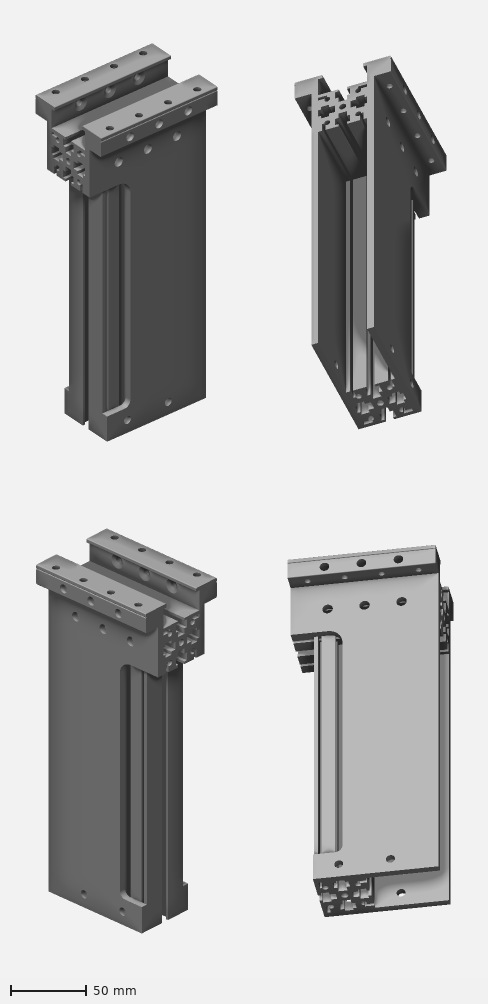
import cadquery as cq
import math

profile_size = 35.0
rail_length = 100.0
column_height = 200.0
plate_thickness = 5.0
block_width = 12.0
block_height = 12.0
strip_width = 20.0
strip_thickness = 3.0
edge_radius = 0.65
overall_height = 253.0

slot_opening = 6.0
slot_lip = 2.0
slot_cavity_width = 10.8
slot_cavity_end = 7.8
slot_depth = 12.0
core_bore = 5.0
corner_bore = 4.2
corner_bore_offset = 11.1
groove_width = 2.4
groove_offset = 13.6

plate_depth = 85.0
notch_bottom = 20.0
notch_depth = 20.0
notch_top_radius = 10.0
notch_bottom_radius = 5.0

bolt_pitch = 25.0
rail_bolt_hole = 7.0
block_bolt_hole = 5.0
countersink_diameter = 10.5
countersink_angle = 118.0
rail_bolt_drop = 35.0
column_bolt_hole = 6.0
column_bolt_height = 10.0
block_side_hole = 6.5
block_top_hole = 4.2
strip_hole = 5.5

half_profile = profile_size / 2
front_y = -rail_length / 2
back_y = rail_length / 2
plate_front_y = back_y - plate_depth
column_y = plate_front_y + half_profile
rail_z = column_height + half_profile
rail_bolt_z = overall_height - rail_bolt_drop
plate_top = overall_height - strip_thickness
block_inner_x = half_profile + plate_thickness
block_outer_x = block_inner_x + block_width
block_x = block_inner_x + block_width / 2
block_z = plate_top - block_height / 2
side_bolt_ys = [-bolt_pitch, 0, bolt_pitch]
top_bolt_ys = [step * bolt_pitch for step in (-1.5, -0.5, 0.5, 1.5)]
column_bolt_ys = [column_y, column_y + profile_size]


def box(x_min, x_max, y_min, y_max, z_min, z_max):
    size = (x_max - x_min, y_max - y_min, z_max - z_min)
    return cq.Workplane("XY").box(*size, centered=False).translate((x_min, y_min, z_min))


def x_holes(x_min, x_max, ys, z, diameter):
    """Round cutters along X, one at each Y."""
    places = [(y, z) for y in ys]
    plane = cq.Workplane("YZ").workplane(offset=x_min)
    return plane.pushPoints(places).circle(diameter / 2).extrude(x_max - x_min)


def z_holes(x, ys, z_min, z_max, diameter):
    """Round cutters along Z, one at each Y."""
    places = [(x, y) for y in ys]
    plane = cq.Workplane("XY").workplane(offset=z_min)
    return plane.pushPoints(places).circle(diameter / 2).extrude(z_max - z_min)


def slotted_profile(length):
    """Slotted extrusion along Z, centred in XY; its plain face with the slot looks to +Y."""
    def bar(width, depth, x, y):
        return cq.Workplane("XY").center(x, y).rect(width, depth).extrude(length)

    body = bar(profile_size, profile_size, 0, 0)
    cavity_depth = slot_cavity_end - slot_lip
    mouth = bar(slot_opening, slot_depth, 0, half_profile - slot_depth / 2)
    cavity = bar(slot_cavity_width, cavity_depth, 0, half_profile - slot_lip - cavity_depth / 2)
    slot = mouth.union(cavity)
    for quarter in range(4):
        body = body.cut(slot.rotate((0, 0, 0), (0, 0, 1), 90 * quarter))
    body = body.cut(cq.Workplane("XY").circle(core_bore / 2).extrude(length))

    groove_length = half_profile - corner_bore_offset
    groove_middle = half_profile - groove_length / 2
    for side in (-1, 1):
        for level in (-1, 1):
            bore = cq.Workplane("XY").center(side * corner_bore_offset, level * corner_bore_offset)
            body = body.cut(bore.circle(corner_bore / 2).extrude(length))
        body = body.cut(bar(groove_length, groove_width, side * groove_middle, groove_offset))
        body = body.cut(bar(groove_width, groove_length, side * groove_offset, -groove_middle))
    return body


def make_rail():
    rail = slotted_profile(rail_length).rotate((0, 0, 0), (1, 0, 0), 90)
    return rail.translate((0, back_y, rail_z))


def make_column():
    column = slotted_profile(column_height).rotate((0, 0, 0), (0, 0, 1), 180)
    return column.translate((0, column_y, 0))


def countersink(y):
    """Cone cutter entering the inner face of the +X plate."""
    mouth_radius = countersink_diameter / 2
    height = mouth_radius / math.tan(math.radians(countersink_angle / 2))
    centre = cq.Vector(half_profile, y, block_z)
    return cq.Workplane(obj=cq.Solid.makeCone(mouth_radius, 0, height, centre, cq.Vector(1, 0, 0)))


def make_side_plate():
    """Plate on the +X side."""
    notch_y = plate_front_y + notch_depth
    outline = (
        cq.Workplane("YZ").workplane(offset=half_profile)
        .moveTo(back_y, 0)
        .lineTo(plate_front_y, 0)
        .lineTo(plate_front_y, notch_bottom)
        .lineTo(notch_y - notch_bottom_radius, notch_bottom)
        .radiusArc((notch_y, notch_bottom + notch_bottom_radius), -notch_bottom_radius)
        .lineTo(notch_y, column_height - notch_top_radius)
        .radiusArc((notch_y - notch_top_radius, column_height), -notch_top_radius)
        .lineTo(front_y, column_height)
        .lineTo(front_y, plate_top)
        .lineTo(back_y, plate_top)
        .close()
    )
    plate = outline.extrude(plate_thickness)
    for ys, z, diameter in (
        (side_bolt_ys, block_z, block_bolt_hole),
        (side_bolt_ys, rail_bolt_z, rail_bolt_hole),
        (column_bolt_ys, column_bolt_height, column_bolt_hole),
    ):
        plate = plate.cut(x_holes(half_profile, block_inner_x, ys, z, diameter))
    for y in side_bolt_ys:
        plate = plate.cut(countersink(y))
    return plate


def make_block():
    """Square bar along the top outside of the +X plate."""
    bottom = plate_top - block_height
    block = box(block_inner_x, block_outer_x, front_y, back_y, bottom, plate_top)
    block = block.edges("|Y and >X").fillet(edge_radius)
    block = block.cut(x_holes(block_inner_x, block_outer_x, side_bolt_ys, block_z, block_side_hole))
    return block.cut(z_holes(block_x, top_bolt_ys, bottom, plate_top, block_top_hole))


def make_strip():
    """Flat strip lying over the +X plate and block."""
    inner_x = block_outer_x - strip_width
    strip = box(inner_x, block_outer_x, front_y, back_y, plate_top, overall_height)
    strip = strip.edges("|Y").fillet(edge_radius)
    return strip.cut(z_holes(block_x, top_bolt_ys, plate_top, overall_height, strip_hole))


bodies = [make_rail().val(), make_column().val()]
for make_part in (make_side_plate, make_block, make_strip):
    part = make_part()
    bodies.append(part.val())
    bodies.append(part.mirror("YZ").val())

result = cq.Compound.makeCompound(bodies)